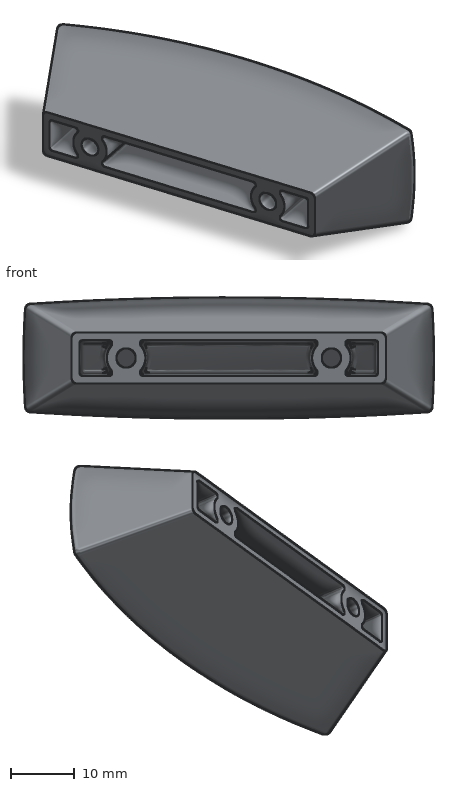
import cadquery as cq
import math

depth = 22.9
front_length = 49.1
front_height = 8.0
side_flare = 23.1
top_flare = 14.6
crown_radius = 121.95
crown_profile = 50.05
side_edge_round = 0.9
back_edge_round = 0.95

wall = 1.2
draft = 1.4
pocket_round = 0.5

boss_spacing = 32.1
boss_radius = 3.0
hole_diameter = 3.0
hole_depth = 12.85


def flared_prism(plane, front_width, flare, thickness):
    """Symmetric trapezoid that widens along +Y, extruded to both sides of the plane."""
    front_half = front_width / 2
    back_half = front_half + depth * math.tan(math.radians(flare))
    outline = [(-front_half, 0), (front_half, 0), (back_half, depth), (-back_half, depth)]
    return cq.Workplane(plane).polyline(outline).close().extrude(thickness / 2, both=True)


def crowned_solid(inset):
    """Solid of revolution whose double-curved rim lies `inset` inside the back surface."""
    rim = crown_radius - inset
    arc_radius = crown_profile - inset
    half_height = depth
    sagitta = arc_radius - math.sqrt(arc_radius**2 - half_height**2)
    return (
        cq.Workplane("YZ", origin=(0, depth - crown_radius, 0))
        .moveTo(0, -half_height)
        .lineTo(rim - sagitta, -half_height)
        .threePointArc((rim, 0), (rim - sagitta, half_height))
        .lineTo(0, half_height)
        .close()
        .revolve(360, (0, 0), (0, 1))
    )


def outer_block():
    """Four-sided frustum along Y, capped by the crowned back, with its edges rounded."""
    lengthwise = flared_prism("XY", front_length, side_flare, 2 * depth)
    upright = cq.Plane((0, 0, 0), xDir=(0, 0, -1), normal=(1, 0, 0))
    heightwise = flared_prism(upright, front_height, top_flare, 2 * front_length)
    block = lengthwise.intersect(heightwise).intersect(crowned_solid(0))
    corner_edges = block.edges("%LINE").edges("not (|X or |Z)")
    block = corner_edges.fillet(side_edge_round)
    return block.faces(">Y").edges().fillet(back_edge_round)


def front_sketch():
    """Workplane on the front face whose normal points into the block."""
    return cq.Workplane(cq.Plane((0, 0, 0), xDir=(1, 0, 0), normal=(0, 1, 0)))


def boss_centers(sketch):
    return sketch.pushPoints([(-boss_spacing / 2, 0), (boss_spacing / 2, 0)])


def pockets():
    """Drafted cavity, split into three pockets by the bosses, with rounded inner edges."""
    cavity = front_sketch().rect(front_length - 2 * wall, front_height - 2 * wall)
    cavity = cavity.extrude(depth, taper=draft)
    bosses = boss_centers(front_sketch()).circle(boss_radius).extrude(depth, taper=-draft)
    cavity = cavity.cut(bosses).intersect(crowned_solid(wall))
    return cavity.edges("not <Y").fillet(pocket_round)


def screw_holes():
    return boss_centers(front_sketch()).circle(hole_diameter / 2).extrude(hole_depth)


result = outer_block().cut(pockets()).cut(screw_holes())